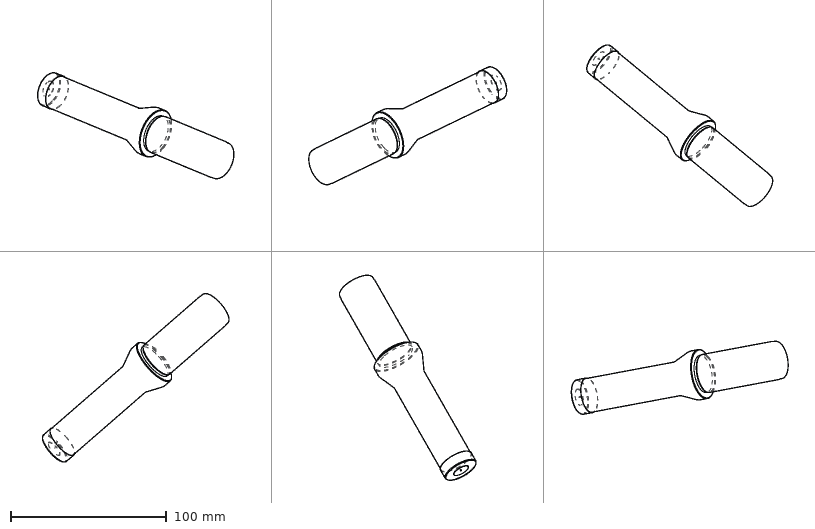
import cadquery as cq
import math

OVERALL_LENGTH = 147.0

HEAD_LENGTH = 7.5
HEAD_FRONT_DIAMETER = 22.6
HEAD_REAR_DIAMETER = 22.8
NOSE_LENGTH = 0.9
NOSE_DIAMETER = 19.4
FACE_DIAMETER = 21.8
FACE_SLOPE_DEPTH = 0.1

BOSS_BASE_DIAMETER = 10.9
BOSS_DIAMETER = 10.3
BOSS_HEIGHT = 0.1
SOCKET_DIAMETER = 6.5
SOCKET_STEP_DIAMETER = 5.3
SOCKET_FLOOR_DIAMETER = 4.1
CENTRE_HOLE_DIAMETER = 0.6
CENTRE_HOLE_DEPTH = 0.9

BODY_DIAMETER = 22.0

FLANGE_DIAMETER = 32.0
FLANGE_REAR = 91.0
CONE_START = 72.8
CONE_ANGLE = 22.5
CONE_FOOT_RADIUS = 4.4
CONE_TOP_RADIUS = 5.6
FLANGE_CHAMFER = 0.5

SHANK_DIAMETER = 25.0
NECK_DIAMETER = 24.5
NECK_LENGTH = 1.6
NECK_TAPER = 0.6
NECK_ROOT_DIAMETER = 24.3
NECK_ROOT_LENGTH = 0.7
SHANK_REAR = 143.3
TAIL_TAPER = 0.9
TAIL_ROUND = 1.2


def revolve_about_x(profile):
    """Turn a closed (x, radius) outline into a solid of revolution about the X axis."""
    return profile.close().revolve(360, (0, 0, 0), (1, 0, 0))


def make_head():
    """Head with a bevelled nose, a low central boss and a shallow conical dimple in the boss."""
    profile = (
        cq.Workplane("XY")
        .moveTo(CENTRE_HOLE_DEPTH, 0)
        .lineTo(CENTRE_HOLE_DEPTH, CENTRE_HOLE_DIAMETER / 2)
        .lineTo(BOSS_HEIGHT, CENTRE_HOLE_DIAMETER / 2)
        .lineTo(BOSS_HEIGHT, SOCKET_FLOOR_DIAMETER / 2)
        .lineTo(BOSS_HEIGHT / 2, SOCKET_STEP_DIAMETER / 2)
        .lineTo(0, SOCKET_DIAMETER / 2)
        .lineTo(0, BOSS_DIAMETER / 2)
        .lineTo(BOSS_HEIGHT, BOSS_BASE_DIAMETER / 2)
        .lineTo(BOSS_HEIGHT, NOSE_DIAMETER / 2)
        .lineTo(BOSS_HEIGHT + FACE_SLOPE_DEPTH, FACE_DIAMETER / 2)
        .lineTo(NOSE_LENGTH, HEAD_FRONT_DIAMETER / 2)
        .lineTo(HEAD_LENGTH, HEAD_REAR_DIAMETER / 2)
        .lineTo(HEAD_LENGTH, 0)
    )
    return revolve_about_x(profile)


def blend_at_corner(profile, corner_x, corner_radius, blend_radius, turn):
    """Replace the corner between a line along X and the cone by a tangent arc.

    turn is +1 where the outline turns up onto the cone and -1 where it turns back to level.
    """
    angle = math.radians(CONE_ANGLE)
    setback = blend_radius * math.tan(angle / 2)
    level_point = (corner_x - turn * setback, corner_radius)
    cone_point = (
        corner_x + turn * setback * math.cos(angle),
        corner_radius + turn * setback * math.sin(angle),
    )
    middle_point = (
        level_point[0] + turn * blend_radius * math.sin(angle / 2),
        corner_radius + turn * blend_radius * (1 - math.cos(angle / 2)),
    )
    if turn > 0:
        return profile.lineTo(*level_point).threePointArc(middle_point, cone_point)
    return profile.lineTo(*cone_point).threePointArc(middle_point, level_point)


def make_holder():
    """Turned holder: body, conical flange, relieved neck and cylindrical shank."""
    body_radius = BODY_DIAMETER / 2
    flange_radius = FLANGE_DIAMETER / 2
    neck_radius = NECK_DIAMETER / 2
    shank_radius = SHANK_DIAMETER / 2
    cone_length = (flange_radius - body_radius) / math.tan(math.radians(CONE_ANGLE))
    neck_end = FLANGE_REAR + NECK_LENGTH

    profile = cq.Workplane("XY").moveTo(HEAD_LENGTH, 0).lineTo(HEAD_LENGTH, body_radius)
    profile = blend_at_corner(profile, CONE_START, body_radius, CONE_FOOT_RADIUS, 1)
    profile = blend_at_corner(
        profile, CONE_START + cone_length, flange_radius, CONE_TOP_RADIUS, -1
    )
    profile = (
        profile.lineTo(FLANGE_REAR - FLANGE_CHAMFER, flange_radius)
        .lineTo(FLANGE_REAR, flange_radius - FLANGE_CHAMFER)
        .lineTo(FLANGE_REAR, NECK_ROOT_DIAMETER / 2)
        .lineTo(FLANGE_REAR + NECK_ROOT_LENGTH, neck_radius)
        .lineTo(neck_end, neck_radius)
        .lineTo(neck_end + NECK_TAPER, shank_radius)
        .lineTo(SHANK_REAR, shank_radius)
        .lineTo(SHANK_REAR + TAIL_TAPER, neck_radius)
        .lineTo(OVERALL_LENGTH - TAIL_ROUND, neck_radius)
        .radiusArc((OVERALL_LENGTH, neck_radius - TAIL_ROUND), TAIL_ROUND)
        .lineTo(OVERALL_LENGTH, 0)
    )
    return revolve_about_x(profile)


head = make_head()
holder = make_holder()
result = cq.Compound.makeCompound([head.val(), holder.val()])